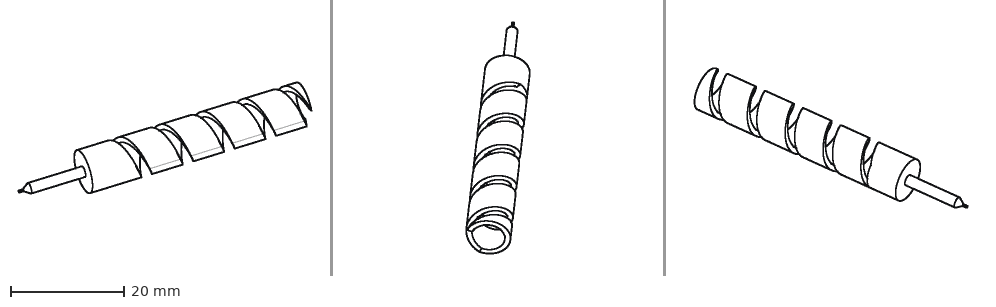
import cadquery as cq

total_length = 55.0
body_length = 42.5
bore_diameter = 6.0
collar_length = 6.0

turn_count = 4
rise_of_turns = 32.0
pitch = rise_of_turns / turn_count
gap_width = pitch - collar_length
gap_start_angle = 225.0
body_diameter = pitch
radial_margin = 0.55

needle_diameter = body_diameter / 4
needle_straight_length = 10.45
tip_diameter = 0.4
tip_length = 0.8


def make_collar():
    """Solid front end of the body, with its front face at Z = 0."""
    return cq.Workplane("XY").circle(body_diameter / 2).extrude(collar_length)


def make_tube():
    """Hollow wall behind the collar, open at the rear."""
    return (
        cq.Workplane("XY", origin=(0, 0, collar_length))
        .circle(body_diameter / 2)
        .circle(bore_diameter / 2)
        .extrude(body_length - collar_length)
    )


def make_gap_cutter():
    """Rectangle swept along a right-hand helix, starting one turn inside the collar."""
    inner_radius = bore_diameter / 2 - radial_margin
    outer_radius = body_diameter / 2 + radial_margin
    start_height = collar_length - pitch
    helix_height = body_length - start_height
    helix = cq.Wire.makeHelix(pitch, helix_height, body_diameter / 2)
    cutter = (
        cq.Workplane("XZ")
        .moveTo(inner_radius, 0)
        .lineTo(outer_radius, 0)
        .lineTo(outer_radius, gap_width)
        .lineTo(inner_radius, gap_width)
        .close()
        .sweep(cq.Workplane(obj=helix), isFrenet=True)
    )
    return cutter.rotate((0, 0, 0), (0, 0, 1), gap_start_angle).translate((0, 0, start_height))


def make_needle():
    """Straight shank, conical shoulder and fine tip, revolved about Z."""
    needle_length = total_length - body_length
    return (
        cq.Workplane("XZ")
        .lineTo(needle_diameter / 2, 0)
        .lineTo(needle_diameter / 2, -needle_straight_length)
        .lineTo(tip_diameter / 2, tip_length - needle_length)
        .lineTo(tip_diameter / 2, -needle_length)
        .lineTo(0, -needle_length)
        .close()
        .revolve(360, (0, 0, 0), (0, 1, 0))
    )


coil = make_tube().cut(make_gap_cutter())
part = make_collar().union(coil).union(make_needle())

result = part.rotate((0, 0, 0), (1, 0, 0), -90)